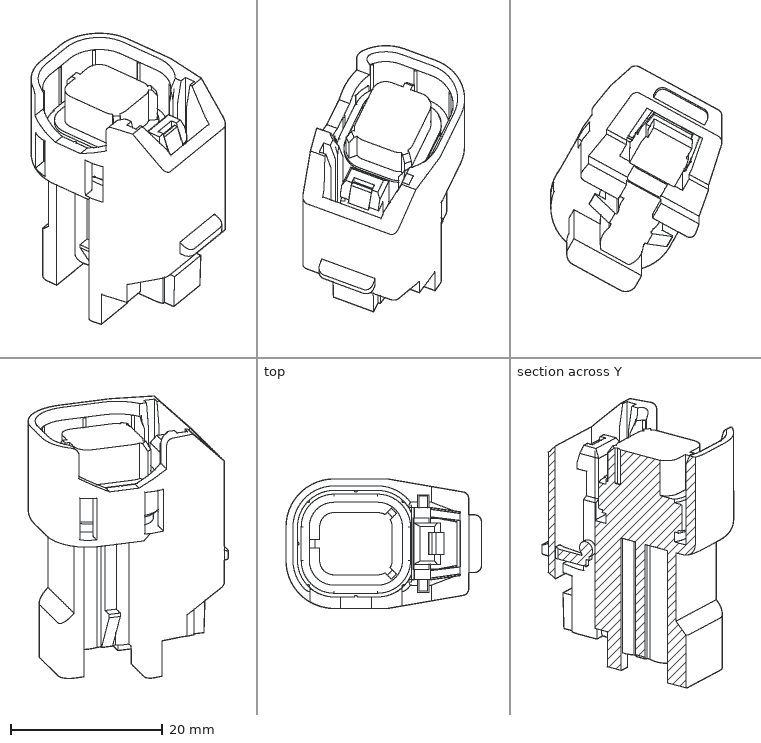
import cadquery as cq
import math

HEIGHT = 33.4

CORNER_X = 2.88
CORNER_Y = 2.2
R_OUTER = 6.39
R_LEAD_IN = 5.45
R_CAVITY = 4.85
R_SEAL = 4.36
R_FLANGE = 3.8
R_PLATE = 3.29
R_CORE = 1.92
BOWL_BOTTOM = 18.92
BOWL_FILLET = 2.0
BOWL_FLOOR = 20.5
LEAD_IN_DEPTH = 1.56
FLANGE_BOTTOM = 21.85
SEAL_BOTTOM = 22.25
SEAL_TOP = 26.1
SEAL_FILLET = 0.25
PLATE_TOP = 26.57
CORE_TOP = 31.6
HALF_WIDTH = CORNER_Y + R_OUTER

KEY_WIDTH = 1.1
KEY_TIP = R_PLATE
DIAGONAL_KEY_WIDTH = 0.96
DIAGONAL_KEY_TIP = 3.05
KEY_CHAMFER_DROP = 1.03
KEY_CHAMFER_RUN = 0.75
CRUSH_RIB_RADIUS = 0.2
DIAGONAL = 45

BODY_FRONT = 3.09
BODY_BACK = 14.95
TAPER_START = 4.17
TAPER_ANGLE = 9.8
BACK_CORNER_RADIUS = 0.95
FRONT_CORNER_RADIUS = 0.8
TOP_CHAMFER_START = 9.98
BACK_LOWER_Z = 11.23
STEP_X = 9.15
STEP_TOP_Z = 7.98
STEP_Z = 5.0
REAR_LEG_BACK = 5.38
REAR_LEG_GAP_HALF = 2.6

TAB_TIP = 16.64
TAB_HALF_WIDTH = 3.84
TAB_BOTTOM = 13.47
TAB_TIP_TOP = 14.46
TAB_ROOT_TOP = 15.33
TAB_CORNER_RADIUS = 1.0

CHANNEL_FRONT = 7.38
CHANNEL_BACK = 13.78
CHANNEL_HALF = 4.76
CHANNEL_BACK_HALF = 4.2
CHANNEL_STRAIGHT_END = 9.9
CHANNEL_FLARE_DEPTH = 3.1
CHANNEL_FLARE_ANGLE = 13.4
PIN_SLOT_FRONT = 8.17
PIN_SLOT_BACK = 9.65
PIN_SLOT_HALF = 6.44
PIN_SLOT_FLOOR = 14.5
PIN_CLEARANCE = 0.15

LEVER_FRONT = 7.7
LEVER_BACK = 9.7
LEVER_HALF = 3.39
LEVER_BOTTOM = 3.21
SHOULDER_Z = 22.65
NECK_Z = 23.0
HEAD_HALF = 2.74
HEAD_BASE_Z = 28.8
HEAD_TOP_Z = 29.9
HEAD_TOP_FRONT = 8.46
HEAD_TOP_BACK = 10.43
HEAD_BACK = 11.2
HEAD_TOP_HALF = 2.3
HEAD_BACK_Z = 27.4
HEAD_BOTTOM_Z = 26.5
HOOK_HALF = 1.45
HOOK_SLOT_FRONT = 9.6
HOOK_LIP_FRONT = 10.1
HOOK_LIP_BACK = 10.6
HOOK_LIP_Z = 29.4
HOOK_BACK = 11.65
PIVOT_Z = 16.0
PIVOT_X = 8.8
PIVOT_RADIUS = 1.1
PIN_TOP_Z = 16.7
ARM_OUTER = 4.6
ARM_INNER = 3.55
ARM_BACK_OUTER = 4.02
ARM_BACK_INNER = 3.05
ARM_BOTTOM = 13.5
ARM_TOP = 15.0
ARM_ROOT_FRONT = 13.1
ARM_ROOT_TOP = 15.15
FOOT_FRONT = 7.55
FOOT_TAPER_START = 10.78
FOOT_SHANK_BACK = 11.72
FOOT_BACK = 13.4
TOE_BOTTOM_BACK = 13.25
FOOT_BACK_HALF = 2.9
FOOT_TOP = 8.3
SHANK_SHELF_Z = 11.2
SHANK_TOP = 12.5

BUMPER_HALF = 2.5
BUMPER_FILLET = 0.57

LEG_HALF = 5.13
LEG_INNER = -4.42
LEG_OUTER = -5.82
LEG_FOOT_OUTER = -7.53
LEG_FOOT_TOP = 9.2
LEG_CORNER_RADIUS = 1.55

TUBE_CENTRE_Y = 1.05
TUBE_CENTRE_X = 2.5
TUBE_RADIUS = 2.85
TUBE_BOTTOM = 2.5
WEB_HALF_WIDTH = 1.3
RAIL_WIDTH = 1.56
RAIL_OUT = 4.33
CATCH_OUT = 5.89
CATCH_TOP = 8.28
CATCH_LIP = 0.48

MOUTH_HALF = 6.07
MOUTH_FLOOR_HALF = 2.07
MOUTH_FLOOR_Z = 27.13
MOUTH_SHOULDER_Z = 29.2
MOUTH_FLARE_RADIUS = 0.87
OPENING_INNER_Y = -5.0
WINDOW_TOP = 26.4
WINDOWS = [(-5.95, -3.84), (2.88, 5.6)]


def prism(outline, bottom, top, taper=0):
    """Vertical prism over a closed XY outline."""
    base = cq.Workplane("XY").workplane(offset=bottom).polyline(outline).close()
    return base.extrude(top - bottom, taper=taper)


def side_prism(outline, y_min, y_max):
    """Prism over a closed XZ outline, reaching from y_min to y_max."""
    return cq.Workplane("XZ", origin=(0, y_max, 0)).polyline(outline).close().extrude(y_max - y_min)


def box(x_min, x_max, y_min, y_max, z_min, z_max):
    size = (x_max - x_min, y_max - y_min, z_max - z_min)
    return cq.Workplane("XY").box(*size, centered=False).translate((x_min, y_min, z_min))


def mirrored_outline(upper):
    """Close an XY outline by mirroring its +Y points across the X axis."""
    return upper + [(x, -y) for x, y in reversed(upper)]


def ring_block(radius, bottom, top):
    """Rounded rectangle around the bowl centre, with the shared corner centres."""
    block = box(-CORNER_X - radius, CORNER_X + radius, -CORNER_Y - radius, CORNER_Y + radius, bottom, top)
    return block.edges("|Z").fillet(radius)


def bowl_shell():
    left = -CORNER_X - R_OUTER
    shell = box(left, TAPER_START, -HALF_WIDTH, HALF_WIDTH, BOWL_BOTTOM, HEIGHT)
    shell = shell.edges("|Z and <X").fillet(R_OUTER)
    return shell.faces("<Z").edges("not(>X)").fillet(BOWL_FILLET)


def rear_body():
    back_half = HALF_WIDTH - (BODY_BACK - TAPER_START) * math.tan(math.radians(TAPER_ANGLE))
    plan = prism(
        mirrored_outline([(BODY_FRONT, HALF_WIDTH), (TAPER_START, HALF_WIDTH), (BODY_BACK, back_half)]),
        0,
        HEIGHT,
    )
    plan = plan.edges("|Z and >X").fillet(BACK_CORNER_RADIUS)
    plan = plan.edges("|Z and <X").fillet(FRONT_CORNER_RADIUS)
    chamfer_end_z = HEIGHT - (BODY_BACK - TOP_CHAMFER_START)
    profile = [
        (BODY_FRONT, 0),
        (REAR_LEG_BACK, 0),
        (REAR_LEG_BACK, STEP_Z),
        (STEP_X, STEP_Z),
        (STEP_X, STEP_TOP_Z),
        (BODY_BACK, BACK_LOWER_Z),
        (BODY_BACK, chamfer_end_z),
        (TOP_CHAMFER_START, HEIGHT),
        (BODY_FRONT, HEIGHT),
    ]
    body = plan.intersect(side_prism(profile, -HALF_WIDTH, HALF_WIDTH))
    gap = box(BODY_FRONT, REAR_LEG_BACK, -REAR_LEG_GAP_HALF, REAR_LEG_GAP_HALF, 0, TUBE_BOTTOM)
    return body.cut(gap)


def grip_tab():
    root = BODY_BACK - BACK_CORNER_RADIUS
    slope = (TAB_ROOT_TOP - TAB_TIP_TOP) / (TAB_TIP - BODY_BACK)
    inner_top = TAB_ROOT_TOP + slope * BACK_CORNER_RADIUS
    profile = [(root, TAB_BOTTOM), (TAB_TIP, TAB_BOTTOM), (TAB_TIP, TAB_TIP_TOP), (root, inner_top)]
    plan = box(root, TAB_TIP, -TAB_HALF_WIDTH, TAB_HALF_WIDTH, TAB_BOTTOM, inner_top)
    plan = plan.edges("|Z and >X").fillet(TAB_CORNER_RADIUS)
    return plan.intersect(side_prism(profile, -TAB_HALF_WIDTH, TAB_HALF_WIDTH))


def bowl_cavity():
    straight = ring_block(R_CAVITY, BOWL_FLOOR, HEIGHT - LEAD_IN_DEPTH)
    lead_angle = math.degrees(math.atan((R_LEAD_IN - R_CAVITY) / LEAD_IN_DEPTH))
    rim = straight.faces(">Z").wires().toPending().workplane()
    return rim.extrude(LEAD_IN_DEPTH, taper=-lead_angle)


def latch_channel():
    outline = mirrored_outline(
        [
            (CHANNEL_FRONT, CHANNEL_HALF),
            (CHANNEL_STRAIGHT_END, CHANNEL_HALF),
            (CHANNEL_BACK, CHANNEL_BACK_HALF),
        ]
    )
    flare_bottom = HEIGHT - CHANNEL_FLARE_DEPTH
    channel = prism(outline, 0, flare_bottom)
    channel = channel.union(prism(outline, flare_bottom, HEIGHT, taper=-CHANNEL_FLARE_ANGLE))
    pin_slots = box(PIN_SLOT_FRONT, PIN_SLOT_BACK, -PIN_SLOT_HALF, PIN_SLOT_HALF, PIN_SLOT_FLOOR, HEIGHT)
    return channel.union(pin_slots)


def mouth_opening():
    """Wide notch in the -Y rim, with flared top corners."""
    y_out = -HALF_WIDTH
    r = MOUTH_FLARE_RADIUS
    sketch = (
        cq.Workplane("XZ", origin=(0, OPENING_INNER_Y, 0))
        .moveTo(-MOUTH_FLOOR_HALF, MOUTH_FLOOR_Z)
        .lineTo(MOUTH_FLOOR_HALF, MOUTH_FLOOR_Z)
        .lineTo(MOUTH_HALF, MOUTH_SHOULDER_Z)
        .lineTo(MOUTH_HALF, HEIGHT - r)
        .radiusArc((MOUTH_HALF + r, HEIGHT), r)
        .lineTo(-MOUTH_HALF - r, HEIGHT)
        .radiusArc((-MOUTH_HALF, HEIGHT - r), r)
        .lineTo(-MOUTH_HALF, MOUTH_SHOULDER_Z)
        .close()
    )
    return sketch.extrude(OPENING_INNER_Y - y_out)


def core_key(centre_x, centre_y, angle, width, tip):
    """Rib on the core, pointing outwards at the given angle, with a sloped top end."""
    profile = [
        (0, BOWL_FLOOR),
        (tip, BOWL_FLOOR),
        (tip, CORE_TOP - KEY_CHAMFER_DROP),
        (tip - KEY_CHAMFER_RUN, CORE_TOP),
        (0, CORE_TOP),
    ]
    key = side_prism(profile, -width / 2, width / 2)
    return key.rotate((0, 0, 0), (0, 0, 1), angle).translate((centre_x, centre_y, 0))


def core():
    seal = ring_block(R_SEAL, SEAL_BOTTOM, SEAL_TOP).edges("#Z").fillet(SEAL_FILLET)
    reach_x = CORNER_X + R_SEAL
    reach_y = CORNER_Y + R_SEAL
    seal = seal.union(box(-reach_x, reach_x, -CORNER_Y, CORNER_Y, SEAL_BOTTOM, SEAL_TOP))
    seal = seal.union(box(-CORNER_X, CORNER_X, -reach_y, reach_y, SEAL_BOTTOM, SEAL_TOP))
    body = ring_block(R_FLANGE, FLANGE_BOTTOM, SEAL_BOTTOM).union(seal)
    body = body.union(ring_block(R_PLATE, BOWL_FLOOR, PLATE_TOP))
    body = body.union(ring_block(R_CORE, BOWL_FLOOR, CORE_TOP))
    body = body.union(core_key(-CORNER_X, 0, 180, KEY_WIDTH, KEY_TIP))
    for side in (-1, 1):
        diagonal = core_key(CORNER_X, side * CORNER_Y, side * DIAGONAL, DIAGONAL_KEY_WIDTH, DIAGONAL_KEY_TIP)
        body = body.union(diagonal)
    return body


def crush_ribs():
    diagonal = R_CAVITY * math.cos(math.radians(DIAGONAL))
    corner_x = CORNER_X + diagonal
    corner_y = CORNER_Y + diagonal
    side_y = CORNER_Y + R_CAVITY
    spots = [(-CORNER_X - R_CAVITY, 0), (0, side_y), (-corner_x, corner_y), (corner_x, corner_y)]
    spots += [(-corner_x, -corner_y), (corner_x, -corner_y), (0, -side_y)]
    ribs = cq.Workplane("XY").workplane(offset=BOWL_FLOOR).pushPoints(spots).circle(CRUSH_RIB_RADIUS)
    return ribs.extrude(HEIGHT - LEAD_IN_DEPTH - BOWL_FLOOR)


def front_leg():
    foot_slope = LEG_OUTER - LEG_FOOT_OUTER
    profile = [
        (LEG_INNER, 0),
        (LEG_FOOT_OUTER, 0),
        (LEG_FOOT_OUTER, LEG_FOOT_TOP - foot_slope),
        (LEG_OUTER, LEG_FOOT_TOP),
        (LEG_INNER, LEG_FOOT_TOP),
    ]
    plan = box(LEG_FOOT_OUTER, LEG_INNER, -LEG_HALF, LEG_HALF, 0, LEG_FOOT_TOP)
    plan = plan.edges("|Z and <X").fillet(LEG_CORNER_RADIUS)
    foot = plan.intersect(side_prism(profile, -LEG_HALF, LEG_HALF))
    shank = box(LEG_OUTER, LEG_INNER, -LEG_HALF, LEG_HALF, LEG_FOOT_TOP, BOWL_FLOOR)
    return shank.union(foot)


def wire_tubes():
    web_half = math.sqrt(TUBE_RADIUS**2 - (TUBE_CENTRE_X - WEB_HALF_WIDTH) ** 2)
    web_min = TUBE_CENTRE_Y - web_half
    web_max = TUBE_CENTRE_Y + web_half
    tubes = box(-WEB_HALF_WIDTH, WEB_HALF_WIDTH, web_min, web_max, TUBE_BOTTOM, BOWL_FLOOR)
    for tube_x in (-TUBE_CENTRE_X, TUBE_CENTRE_X):
        tube = cq.Workplane("XY", origin=(tube_x, TUBE_CENTRE_Y, TUBE_BOTTOM)).circle(TUBE_RADIUS)
        tubes = tubes.union(tube.extrude(BOWL_FLOOR - TUBE_BOTTOM))
    catch_profile = [
        (0, TUBE_BOTTOM),
        (TUBE_RADIUS, TUBE_BOTTOM),
        (CATCH_OUT, CATCH_TOP - CATCH_LIP),
        (CATCH_OUT, CATCH_TOP),
        (RAIL_OUT, CATCH_TOP),
        (RAIL_OUT, BOWL_FLOOR),
        (0, BOWL_FLOOR),
    ]
    catch = side_prism(catch_profile, -RAIL_WIDTH / 2, RAIL_WIDTH / 2)
    for angle in (-90, 90):
        placed = catch.rotate((0, 0, 0), (0, 0, 1), angle).translate((0, TUBE_CENTRE_Y, 0))
        tubes = tubes.union(placed)
    return tubes


def lever_stem():
    """Upright of the lever, narrowing from the pivot to the head."""
    right_side = [
        (LEVER_HALF, LEVER_BOTTOM),
        (LEVER_HALF, SHOULDER_Z),
        (HEAD_HALF, NECK_Z),
        (HEAD_HALF, HEAD_BASE_Z),
    ]
    outline = right_side + [(-y, z) for y, z in reversed(right_side)]
    stem = cq.Workplane("YZ", origin=(LEVER_FRONT, 0, 0)).polyline(outline).close()
    return stem.extrude(LEVER_BACK - LEVER_FRONT)


def lever_head():
    side_profile = [
        (LEVER_FRONT, HEAD_BOTTOM_Z),
        (LEVER_FRONT, HEAD_BASE_Z),
        (HEAD_TOP_FRONT, HEAD_TOP_Z),
        (HEAD_TOP_BACK, HEAD_TOP_Z),
        (HEAD_BACK, HEAD_BACK_Z),
        (HEAD_BACK, HEAD_BOTTOM_Z),
    ]
    end_profile = [
        (HEAD_HALF, HEAD_BOTTOM_Z),
        (HEAD_HALF, HEAD_BASE_Z),
        (HEAD_TOP_HALF, HEAD_TOP_Z),
        (-HEAD_TOP_HALF, HEAD_TOP_Z),
        (-HEAD_HALF, HEAD_BASE_Z),
        (-HEAD_HALF, HEAD_BOTTOM_Z),
    ]
    ends = cq.Workplane("YZ", origin=(LEVER_FRONT, 0, 0)).polyline(end_profile).close()
    head = ends.extrude(HEAD_BACK - LEVER_FRONT).intersect(side_prism(side_profile, -HEAD_HALF, HEAD_HALF))
    head = head.cut(box(HOOK_SLOT_FRONT, HEAD_BACK, -HOOK_HALF, HOOK_HALF, HEAD_BOTTOM_Z, HEAD_TOP_Z))
    hook_profile = [
        (HOOK_SLOT_FRONT, HEAD_BOTTOM_Z),
        (HOOK_BACK, HEAD_BOTTOM_Z),
        (HOOK_LIP_BACK, HOOK_LIP_Z),
        (HOOK_LIP_FRONT, HOOK_LIP_Z),
        (HOOK_SLOT_FRONT, (HEAD_BOTTOM_Z + HOOK_LIP_Z) / 2),
    ]
    return head.union(side_prism(hook_profile, -HOOK_HALF, HOOK_HALF))


def lever_foot():
    """Shank with a shelf above, tapering to the back, and a narrower toe at its foot."""
    half_outline = [(FOOT_FRONT, LEVER_HALF), (FOOT_TAPER_START, LEVER_HALF), (FOOT_BACK, FOOT_BACK_HALF)]
    plan = prism(mirrored_outline(half_outline), LEVER_BOTTOM, SHANK_TOP)
    shank_profile = [
        (FOOT_FRONT, LEVER_BOTTOM),
        (FOOT_SHANK_BACK, LEVER_BOTTOM),
        (FOOT_SHANK_BACK, SHANK_SHELF_Z),
        (FOOT_BACK, SHANK_SHELF_Z),
        (FOOT_BACK, SHANK_TOP),
        (FOOT_FRONT, SHANK_TOP),
    ]
    shank = plan.intersect(side_prism(shank_profile, -LEVER_HALF, LEVER_HALF))
    toe_profile = [
        (FOOT_FRONT, LEVER_BOTTOM),
        (TOE_BOTTOM_BACK, LEVER_BOTTOM),
        (FOOT_BACK, FOOT_TOP),
        (FOOT_FRONT, FOOT_TOP),
    ]
    return shank.union(side_prism(toe_profile, -FOOT_BACK_HALF, FOOT_BACK_HALF))


def lever_pivot():
    """Pivot bar and its pins, with two arms that tie it to the back wall of the channel."""
    bar = (
        cq.Workplane("XZ", origin=(PIVOT_X, CHANNEL_HALF, PIVOT_Z))
        .circle(PIVOT_RADIUS)
        .extrude(2 * CHANNEL_HALF)
    )
    pins = box(
        PIN_SLOT_FRONT + PIN_CLEARANCE,
        PIN_SLOT_BACK - PIN_CLEARANCE,
        -PIN_SLOT_HALF + PIN_CLEARANCE,
        PIN_SLOT_HALF - PIN_CLEARANCE,
        PIN_SLOT_FLOOR,
        PIN_TOP_Z,
    )
    pivot = bar.union(pins)
    arm_outline = [
        (PIVOT_X, ARM_INNER),
        (PIVOT_X, ARM_OUTER),
        (LEVER_BACK, ARM_OUTER),
        (CHANNEL_BACK, ARM_BACK_OUTER),
        (CHANNEL_BACK, ARM_BACK_INNER),
        (LEVER_BACK, ARM_INNER),
    ]
    arm_profile = [
        (PIVOT_X, ARM_BOTTOM),
        (CHANNEL_BACK, ARM_BOTTOM),
        (CHANNEL_BACK, ARM_ROOT_TOP),
        (ARM_ROOT_FRONT, ARM_TOP),
        (PIVOT_X, ARM_TOP),
    ]
    arm = prism(arm_outline, ARM_BOTTOM, ARM_ROOT_TOP)
    arm = arm.intersect(side_prism(arm_profile, ARM_BACK_INNER, ARM_OUTER))
    return pivot.union(arm).union(arm.mirror("XZ"))


def bumper():
    """Small stop behind the rear leg, in front of the lever foot."""
    block = box(REAR_LEG_BACK, CHANNEL_FRONT, -BUMPER_HALF, BUMPER_HALF, LEVER_BOTTOM, STEP_Z)
    return block.edges("|X and <Z").fillet(BUMPER_FILLET)


housing = bowl_shell().union(rear_body()).union(grip_tab())
housing = housing.cut(bowl_cavity()).cut(latch_channel())
housing = housing.union(crush_ribs())
housing = housing.cut(mouth_opening())
for window_left, window_right in WINDOWS:
    housing = housing.cut(
        box(window_left, window_right, -HALF_WIDTH, OPENING_INNER_Y, BOWL_FLOOR, WINDOW_TOP)
    )

result = housing.union(core()).union(front_leg()).union(wire_tubes()).union(bumper())
for lever_piece in (lever_stem(), lever_head(), lever_foot(), lever_pivot()):
    result = result.union(lever_piece)